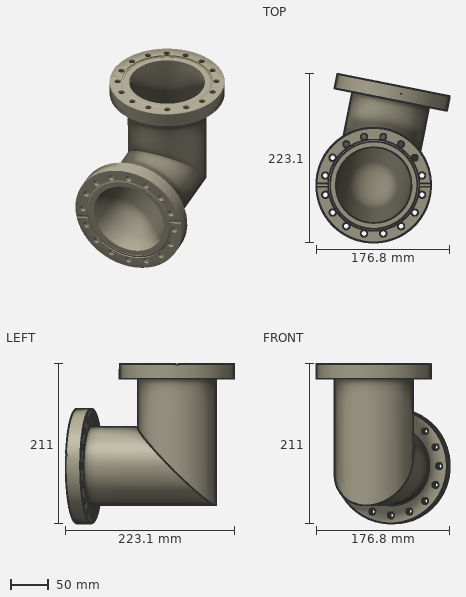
import cadquery as cq
import math

leg_length = 135.0
bolt_count = 16
half_bolt_pitch = 360.0 / bolt_count / 2
swing_angle = half_bolt_pitch

tube_od = 104.0
tube_id = 100.0

flange_od = 152.0
flange_thickness = 20.0
rim_chamfer = 0.5
bolt_circle = 130.2
bolt_hole = 8.4

socket_diameter = 104.5
socket_shoulder = 9.5

recess_diameter = 120.6
recess_depth = 1.65
knife_diameter = 115.0
knife_slope = 20.0
knife_height = (recess_diameter - knife_diameter) / 2 * math.tan(math.radians(knife_slope))
knife_crest_depth = recess_depth - knife_height
inner_face_depth = 1.3

groove_width = 4.5
groove_depth = 1.0
groove_radius = (groove_width**2 / 4 + groove_depth**2) / (2 * groove_depth)


def make_tube():
    """Upright tube, its lower end mitred at 45 degrees towards +Y."""
    tube_top = leg_length - socket_shoulder
    tube_bottom = -tube_od
    tube = (
        cq.Workplane("XY", origin=(0, 0, tube_bottom))
        .circle(tube_od / 2)
        .circle(tube_id / 2)
        .extrude(tube_top - tube_bottom)
    )
    reach = 2 * tube_od
    below_mitre = (
        cq.Workplane("YZ")
        .polyline([(-reach, -reach), (reach, -reach), (reach, reach)])
        .close()
        .extrude(tube_od, both=True)
    )
    return tube.cut(below_mitre)


def make_flange():
    """Flange on the upright leg, sealing face up, revolved from its half section."""
    face = leg_length
    back = face - flange_thickness
    shoulder = face - socket_shoulder
    flange = (
        cq.Workplane("XZ")
        .moveTo(socket_diameter / 2, back)
        .lineTo(flange_od / 2 - rim_chamfer, back)
        .lineTo(flange_od / 2, back + rim_chamfer)
        .lineTo(flange_od / 2, face - rim_chamfer)
        .lineTo(flange_od / 2 - rim_chamfer, face)
        .lineTo(recess_diameter / 2, face)
        .lineTo(recess_diameter / 2, face - recess_depth)
        .lineTo(knife_diameter / 2, face - knife_crest_depth)
        .lineTo(knife_diameter / 2, face - inner_face_depth)
        .lineTo(tube_id / 2, face - inner_face_depth)
        .lineTo(tube_id / 2, shoulder)
        .lineTo(socket_diameter / 2, shoulder)
        .close()
        .revolve(360, (0, 0, 0), (0, 1, 0))
    )
    bolt_holes = (
        cq.Workplane("XY", origin=(0, 0, back))
        .polarArray(bolt_circle / 2, half_bolt_pitch, 360, bolt_count)
        .circle(bolt_hole / 2)
        .extrude(flange_thickness)
    )
    grooves = (
        cq.Workplane("YZ")
        .center(0, face - groove_depth + groove_radius)
        .circle(groove_radius)
        .extrude(flange_od, both=True)
    )
    bore_core = (
        cq.Workplane("XY", origin=(0, 0, back))
        .circle(recess_diameter / 2)
        .extrude(2 * flange_thickness)
    )
    return flange.cut(bolt_holes).cut(grooves.cut(bore_core))


def to_side_leg(body):
    """Turn a body of the upright leg over the mitre plane and swing it onto the side leg."""
    return body.rotate((0, 0, 0), (0, 1, 1), 180).rotate((0, 0, 0), (0, 0, 1), -swing_angle)


upright_tube = make_tube().rotate((0, 0, 0), (0, 0, 1), -swing_angle)
side_tube = to_side_leg(make_tube())
upright_flange = make_flange()
side_flange = to_side_leg(make_flange().rotate((0, 0, 0), (0, 0, 1), half_bolt_pitch))

result = cq.Compound.makeCompound([
    upright_tube.val(), side_tube.val(), upright_flange.val(), side_flange.val(),
])